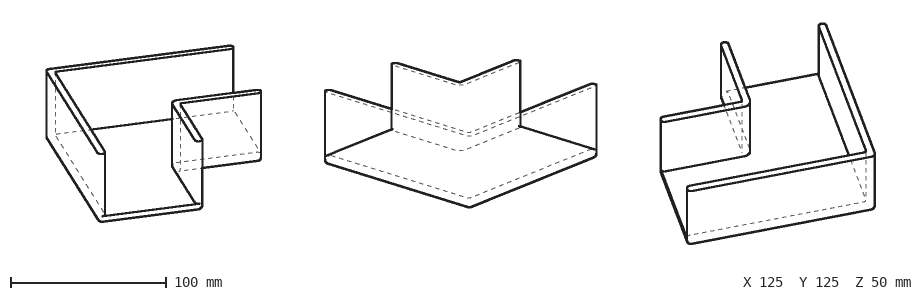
import cadquery as cq

length = 125.0
height = 50.0
arm_width = 70.0
wall = 5.0
floor = 5.0

outer_radius = 3.1
end_radius = 2.4
notch_radius = 1.2
notch_inside_radius = 5.0
cavity_radius = 1.9

inner_start = wall
inner_end = arm_width - wall


def l_prism(start, reach, end, base, depth):
    """L-shaped prism: both arms span start..end across and extend to reach."""
    return (
        cq.Workplane("XY")
        .workplane(offset=base)
        .moveTo(start, start)
        .lineTo(reach, start)
        .lineTo(reach, end)
        .lineTo(end, end)
        .lineTo(end, reach)
        .lineTo(start, reach)
        .close()
        .extrude(depth)
    )


def edge_at(x, y):
    """Selector for the vertical edge at the given plan position."""
    reach = 0.01
    return cq.selectors.BoxSelector(
        (x - reach, y - reach, 0), (x + reach, y + reach, height)
    )


body = l_prism(0, length, arm_width, 0, height)
body = body.edges("|Z").edges(edge_at(0, 0)).fillet(outer_radius)
body = body.edges("|Z").edges(edge_at(arm_width, arm_width)).fillet(notch_radius)
body = body.faces("<Z").edges("not(>X or >Y)").fillet(outer_radius)

for end_face in (">X", ">Y"):
    body = body.faces(end_face).edges("not(>Z)").fillet(end_radius)

cavity = l_prism(inner_start, length, inner_end, floor, height - floor)
cavity = cavity.edges("|Z").edges(edge_at(inner_start, inner_start)).fillet(cavity_radius)
cavity = cavity.edges("|Z").edges(edge_at(inner_end, inner_end)).fillet(notch_inside_radius)
body = body.cut(cavity)

for side in (inner_start, inner_end):
    for x, y in ((length, side), (side, length)):
        body = body.edges("|Z").edges(edge_at(x, y)).fillet(end_radius)

result = body